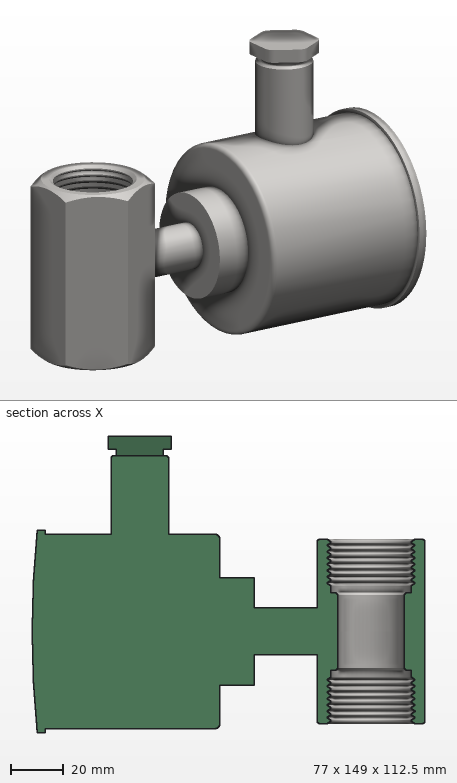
import cadquery as cq
import math


coupling_flats = 41.0
coupling_length = 70.0
coupling_face_diameter = 39.3
coupling_chamfer_height = 2.5
bore_diameter = 25.0
bore_chamfer = 0.9

thread_root_diameter = 33.2
thread_crest_diameter = 30.4
thread_pitch = 2.4
thread_crest_width = 0.5
thread_turns = 8
relief_length = 1.2

overall_depth = 149.0
stem_diameter = 18.0
collar_diameter = coupling_flats
collar_length = 13.0
housing_diameter = 74.0
housing_front = 57.2
housing_fillet = 2.1
lid_diameter = 77.0
lid_rim_thickness = 3.1
lid_dome_height = 2.0

tube_y = 87.6
tube_diameter = 22.0
tube_top = 66.8
tube_chamfer = 0.9
screw_neck_diameter = 18.0
screw_neck_length = 2.2
screw_head_height = 5.0
screw_head_flats = 24.0
screw_head_corner_radius = 4.0

coupling_corners = coupling_flats / math.cos(math.pi / 6)
coupling_half = coupling_length / 2
coupling_back = coupling_flats / 2
lid_back = overall_depth - coupling_flats / 2
rim_back = lid_back - lid_dome_height
rim_front = rim_back - lid_rim_thickness


def cylinder_along_y(diameter, y_start, y_end):
    plane = cq.Workplane("XZ", origin=(0, y_start, 0))
    return plane.circle(diameter / 2).extrude(y_start - y_end)


def coupling_blank():
    """Hexagonal bar with both ends turned to a cone."""
    hexagon = (
        cq.Workplane("XY", origin=(0, 0, -coupling_half))
        .polygon(6, coupling_corners)
        .extrude(coupling_length)
    )
    face_radius = coupling_face_diameter / 2
    corner_radius = coupling_corners / 2
    shoulder = coupling_half - coupling_chamfer_height
    envelope = (
        cq.Workplane("XZ")
        .moveTo(0, -coupling_half)
        .lineTo(face_radius, -coupling_half)
        .lineTo(corner_radius, -shoulder)
        .lineTo(corner_radius, shoulder)
        .lineTo(face_radius, coupling_half)
        .lineTo(0, coupling_half)
        .close()
        .revolve(360, (0, 0, 0), (0, 1, 0))
    )
    return hexagon.intersect(envelope)


def threaded_passage():
    """Upper half of the passage: thread, relief, chamfer and plain bore."""
    root_radius = thread_root_diameter / 2
    crest_radius = thread_crest_diameter / 2
    bore_radius = bore_diameter / 2
    thread_end = coupling_half - thread_turns * thread_pitch
    floor = thread_end - relief_length

    profile = cq.Workplane("XZ").moveTo(0, coupling_half).lineTo(root_radius, coupling_half)
    for turn in range(thread_turns):
        crest_z = coupling_half - (turn + 0.5) * thread_pitch
        profile = profile.lineTo(crest_radius, crest_z + thread_crest_width / 2)
        if turn < thread_turns - 1:
            profile = profile.lineTo(crest_radius, crest_z - thread_crest_width / 2)
            profile = profile.lineTo(root_radius, crest_z - thread_pitch / 2)
    return (
        profile.lineTo(crest_radius, floor)
        .lineTo(bore_radius + bore_chamfer, floor)
        .lineTo(bore_radius, floor - bore_chamfer)
        .lineTo(bore_radius, 0)
        .lineTo(0, 0)
        .close()
        .revolve(360, (0, 0, 0), (0, 1, 0))
    )


def domed_lid():
    rim_radius = lid_diameter / 2
    dome_radius = (rim_radius**2 + lid_dome_height**2) / (2 * lid_dome_height)
    half_angle = math.asin(rim_radius / dome_radius) / 2
    dome_mid_x = dome_radius * math.sin(half_angle)
    dome_mid_y = lid_back - dome_radius * (1 - math.cos(half_angle))
    return (
        cq.Workplane("XY")
        .moveTo(0, rim_front)
        .lineTo(rim_radius, rim_front)
        .lineTo(rim_radius, rim_back)
        .threePointArc((dome_mid_x, dome_mid_y), (0, lid_back))
        .close()
        .revolve(360, (0, 0, 0), (0, 1, 0))
    )


def cable_tube():
    return (
        cq.Workplane("XY", origin=(0, tube_y, 0))
        .circle(tube_diameter / 2)
        .extrude(tube_top)
        .faces(">Z")
        .chamfer(tube_chamfer)
    )


def make_instrument():
    """Housing, lid, cable tube, stem and pipe coupling as one body."""
    housing = cylinder_along_y(housing_diameter, housing_front, rim_front)
    housing = housing.faces("<Y").edges().fillet(housing_fillet)
    collar = cylinder_along_y(collar_diameter, housing_front - collar_length, housing_front)
    head = housing.union(domed_lid()).union(collar).union(cable_tube())

    wall_middle = (coupling_back + thread_root_diameter / 2) / 2
    stem = cylinder_along_y(stem_diameter, wall_middle, housing_front - collar_length)

    upper_passage = threaded_passage()
    coupling = coupling_blank().cut(upper_passage).cut(upper_passage.mirror("XY"))
    return head.union(stem).union(coupling)


def make_gland_screw():
    """Round neck standing on the cable tube, under a rounded hexagon head."""
    neck = (
        cq.Workplane("XY", origin=(0, tube_y, tube_top))
        .circle(screw_neck_diameter / 2)
        .extrude(screw_neck_length)
    )
    head = (
        cq.Workplane("XY", origin=(0, tube_y, tube_top + screw_neck_length))
        .polygon(6, screw_head_flats / math.cos(math.pi / 6))
        .extrude(screw_head_height)
        .edges("|Z")
        .fillet(screw_head_corner_radius)
    )
    return neck.union(head)


instrument = make_instrument()
gland_screw = make_gland_screw()

result = cq.Compound.makeCompound([instrument.solids().val(), gland_screw.solids().val()])